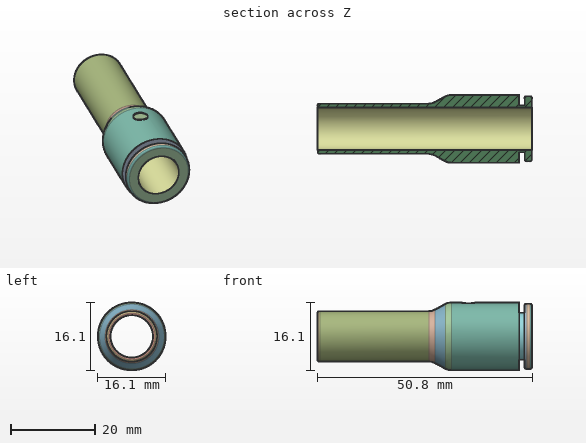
import cadquery as cq

overall_length = 50.8
rim_width = 1.8
body_end_gap = 1.25
rim_start = overall_length - rim_width
body_end = rim_start - body_end_gap
taper_start = 27.12
taper_end = 30.9

bore_diameter = 10.0
stem_diameter = 12.0
body_diameter = 16.1
neck_diameter = 11.2
rim_diameter = 15.5

tip_fillet = 0.5
rim_fillet = 0.5
taper_fillet = 3.1

recess_diameter = 3.5
recess_depth = 0.25
recess_x = 35.75


def rod(start, end, diameter):
    """Solid cylinder along the X axis."""
    return cq.Workplane("YZ", origin=(start, 0, 0)).circle(diameter / 2).extrude(end - start)


def edge_ring(x, diameter):
    """Selector for the circular edge of the given diameter at station x."""
    slack = 0.01
    reach = diameter / 2 + slack
    return cq.selectors.BoxSelector((x - slack, -reach, -reach), (x + slack, reach, reach), boundingbox=True)


def make_stem_and_body():
    """Stem that widens through a blended cone into the body."""
    stem_radius = stem_diameter / 2
    body_radius = body_diameter / 2
    outline = (
        cq.Workplane("XY")
        .moveTo(0, 0)
        .lineTo(0, stem_radius)
        .lineTo(taper_start, stem_radius)
        .lineTo(taper_end, body_radius)
        .lineTo(body_end, body_radius)
        .lineTo(body_end, 0)
        .close()
    )
    blank = outline.revolve(360, (0, 0, 0), (1, 0, 0))
    blank = blank.edges(edge_ring(0, stem_diameter)).fillet(tip_fillet)
    blank = blank.edges(edge_ring(taper_start, stem_diameter)).fillet(taper_fillet)
    return blank.edges(edge_ring(taper_end, body_diameter)).fillet(taper_fillet)


def make_release_collar():
    """Narrow neck behind the body, ending in a rounded rim."""
    neck = rod(body_end, rim_start, neck_diameter)
    rim = rod(rim_start, overall_length, rim_diameter).edges("%CIRCLE").fillet(rim_fillet)
    return neck.union(rim)


def make_recess():
    """Flat-bottomed disc cutter entering the top of the body."""
    floor_height = body_diameter / 2 - recess_depth
    return (
        cq.Workplane("XY", origin=(recess_x, 0, floor_height))
        .circle(recess_diameter / 2)
        .extrude(body_diameter)
    )


result = (
    make_stem_and_body()
    .union(make_release_collar())
    .cut(rod(0, overall_length, bore_diameter))
    .cut(make_recess())
)